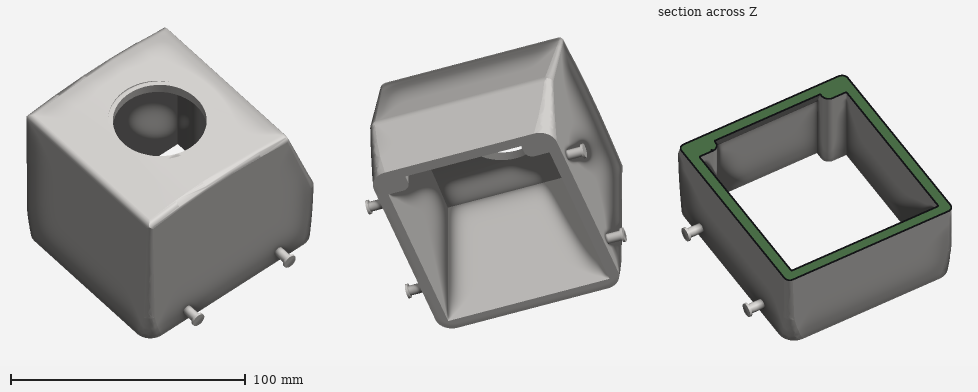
import cadquery as cq
import math

span_over_pins = 98.0
width = 82.5
depth = 94.0
height = 79.0
wall = 4.9
overlap = 2.0

front_foot_y = -depth / 2
back_foot_y = depth / 2
front_draft = 0.7
knee_y = 46.55
knee_z = 33.9
shoulder_y = 31.0
crown_y = -5.9
crown_radius = 264.6

roof_rounding = 2.9
shoulder_rounding = 1.2
knee_rounding = 9.8

front_foot_radii = [(0, 7.4), (6.9, 5.2), (14.7, 3.4)]
front_upper_radii = [front_foot_radii[-1], (height, 1.8)]
back_foot_radii = [(0, 7.6), (14.7, 4.9), (knee_z, 2.9)]
back_slope_radii = [back_foot_radii[-1], (height, 1.2)]

opening_diameter = 40.0
spot_face_diameter = 44.1
spot_face_depth = 0.6

pin_spacing = 50.9
pin_z = 6.2
pin_diameter = 4.3
pin_head_diameter = 6.3
pin_head_length = 1.1

pillar_inner_x = 26.2
pillar_front_y = 34.7
pillar_rounding = 3.6


def roof_z(y):
    """Height of the crowned roof at y."""
    return height - crown_radius + math.sqrt(crown_radius**2 - (y - crown_y) ** 2)


front_top_y = front_foot_y + front_draft
shoulder_z = roof_z(shoulder_y)


def front_y(z):
    """Position of the drafted front wall at height z."""
    return front_foot_y + front_draft * z / height


def back_y(z):
    """Position of the back wall at height z: drafted up to the knee, sloped above it."""
    if z <= knee_z:
        return back_foot_y + (knee_y - back_foot_y) * z / knee_z
    return knee_y + (shoulder_y - knee_y) * (z - knee_z) / (shoulder_z - knee_z)


def side_outline(floor_z):
    """Closed side outline in the YZ plane, with its feet at floor_z."""
    return (
        cq.Workplane("YZ")
        .moveTo(front_foot_y, floor_z)
        .lineTo(back_foot_y, floor_z)
        .lineTo(knee_y, knee_z)
        .lineTo(shoulder_y, shoulder_z)
        .threePointArc((crown_y, height), (front_top_y, roof_z(front_top_y)))
        .close()
    )


def corner_section(y, z, radius, facing):
    """Face outside a rounded +X corner; facing is +1 at the back and -1 at the front."""
    side_x = width / 2
    outer_x = side_x + overlap
    outer_y = y + facing * overlap
    inner_x = side_x - radius
    inner_y = y - facing * radius
    arc_reach = radius * math.sqrt(0.5)
    return (
        cq.Workplane("XY", origin=(0, 0, z))
        .moveTo(inner_x, y)
        .threePointArc((inner_x + arc_reach, inner_y + facing * arc_reach), (side_x, inner_y))
        .lineTo(outer_x, inner_y)
        .lineTo(outer_x, outer_y)
        .lineTo(inner_x, outer_y)
        .close()
        .val()
    )


def round_corners(body, radii, wall_y, facing):
    """Round the left and right corners with a radius that changes with height."""
    sections = [corner_section(wall_y(z), z, radius, facing) for z, radius in radii]
    cutter = cq.Workplane(cq.Solid.makeLoft(sections))
    return body.cut(cutter).cut(cutter.mirror("YZ"))


def make_outer_body():
    body = side_outline(0).extrude(width / 2, both=True)
    roof = cq.selectors.NearestToPointSelector((0, crown_y, height))
    body = body.faces(roof).edges("not >Y").fillet(roof_rounding)
    knee = cq.selectors.NearestToPointSelector((0, knee_y, knee_z))
    body = body.edges(knee).fillet(knee_rounding)
    body = round_corners(body, front_foot_radii, front_y, -1)
    body = round_corners(body, front_upper_radii, front_y, -1)
    body = round_corners(body, back_foot_radii, back_y, 1)
    body = round_corners(body, back_slope_radii, back_y, 1)
    shoulder = cq.selectors.NearestToPointSelector((0, shoulder_y, shoulder_z))
    return body.edges(shoulder).fillet(shoulder_rounding)


def make_cavity():
    """Inner space, open at the bottom, with the two back pillars left standing."""
    cavity = side_outline(-wall).offset2D(-wall).extrude(width / 2 - wall, both=True)
    pillar_width = width / 2 - pillar_inner_x
    pillar_depth = depth / 2 - pillar_front_y
    pillar = (
        cq.Workplane("XY", origin=(pillar_inner_x, pillar_front_y, 0))
        .rect(pillar_width, pillar_depth, centered=False)
        .extrude(height)
        .edges("|Z and <X and <Y")
        .fillet(pillar_rounding)
    )
    return cavity.cut(pillar).cut(pillar.mirror("YZ"))


def roof_disc(diameter, bottom_z):
    """Cylinder on the opening axis, from bottom_z to above the roof."""
    return (
        cq.Workplane("XY", origin=(0, crown_y, bottom_z))
        .circle(diameter / 2)
        .extrude(height + overlap - bottom_z)
    )


def make_pin(y):
    """Headed pin standing out of the +X side."""
    root_x = width / 2 - overlap
    tip_x = span_over_pins / 2
    shank = cq.Workplane("YZ", origin=(root_x, y, pin_z)).circle(pin_diameter / 2).extrude(tip_x - root_x)
    head = (
        cq.Workplane("YZ", origin=(tip_x - pin_head_length, y, pin_z))
        .circle(pin_head_diameter / 2)
        .extrude(pin_head_length)
    )
    return shank.union(head)


result = make_outer_body().cut(make_cavity())
result = result.cut(roof_disc(opening_diameter, height / 2))
result = result.cut(roof_disc(spot_face_diameter, height - spot_face_depth))
for pin_y in (-pin_spacing / 2, pin_spacing / 2):
    pin = make_pin(pin_y)
    result = result.union(pin).union(pin.mirror("YZ"))